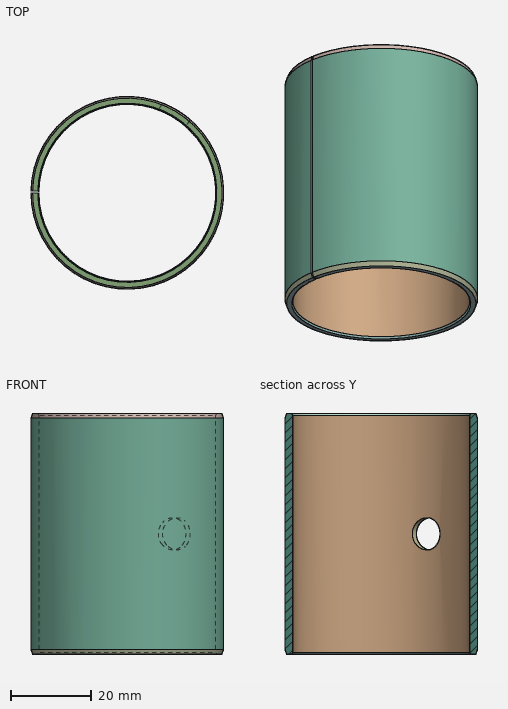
import cadquery as cq
import math

outer_diameter = 48.0
wall_thickness = 2.0
length = 60.0
outer_chamfer_length = 1.2
outer_chamfer_angle = 20.0
inner_chamfer_length = 0.5
inner_chamfer_angle = 30.0
seam_angle = 1.0
oil_hole_diameter = 8.0
oil_hole_angle = 59.0

outer_radius = outer_diameter / 2
inner_radius = outer_radius - wall_thickness
half_length = length / 2
inner_chamfer_depth = inner_chamfer_length * math.tan(math.radians(inner_chamfer_angle))
outer_chamfer_depth = outer_chamfer_length * math.tan(math.radians(outer_chamfer_angle))


def bush_sleeve():
    """Revolve the chamfered wall section from the -X side, short of a full turn to leave the seam open."""
    section = cq.Workplane("XZ").polyline(
        [
            (inner_radius, inner_chamfer_length - half_length),
            (inner_radius, half_length - inner_chamfer_length),
            (inner_radius + inner_chamfer_depth, half_length),
            (outer_radius - outer_chamfer_depth, half_length),
            (outer_radius, half_length - outer_chamfer_length),
            (outer_radius, outer_chamfer_length - half_length),
            (outer_radius - outer_chamfer_depth, -half_length),
            (inner_radius + inner_chamfer_depth, -half_length),
        ]
    ).close()
    sleeve = section.revolve(360 - seam_angle, (0, 0, 0), (0, 1, 0))
    return sleeve.rotate((0, 0, 0), (0, 0, 1), 180)


def oil_hole_cutter():
    """Radial cylinder from the axis through one side of the wall at mid-length."""
    return (
        cq.Workplane("YZ")
        .circle(oil_hole_diameter / 2)
        .extrude(outer_diameter)
        .rotate((0, 0, 0), (0, 0, 1), oil_hole_angle)
    )


result = bush_sleeve().cut(oil_hole_cutter())